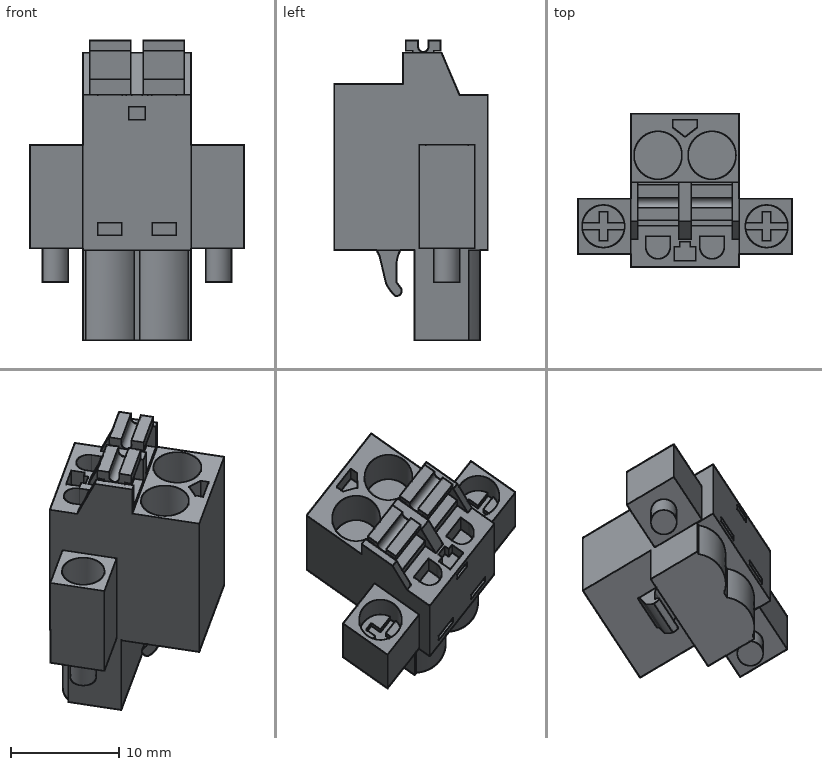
import cadquery as cq


pole_offset = 2.5
pole_sides = (-1, 1)

body_width = 10.0
body_depth = 14.2
body_bottom = 8.35
front_shelf_top = 22.68
rear_top = 23.7
tower_top = 26.6
tower_back = 7.85
tower_crest_front = 4.27
tower_foot_front = 2.6

middle_wall = 1.1
bay_width = 3.83
bay_offset = (middle_wall + bay_width) / 2

overall_width = 19.8
flange_front = 1.22
flange_back = 6.35
flange_bottom = 8.5
flange_top = 18.08

nose_flat_front = 1.75
nose_back = 6.8
nose_bulge = 1.03
nose_bulge_width = 4.46

hook_width = 3.33

wire_hole_radius = 2.22
wire_hole_y = 10.35
wire_hole_depth = 6.93
test_slot_radius = 1.15
test_slot_center_y = 1.9
test_slot_back = 2.85
test_slot_depth = 3.33
marker_half_width = 1.1
marker_back = 13.65
marker_shoulder = 12.9
marker_tip = 12.03
marker_depth = 2.77
key_front = 0.6
key_shoulder = 1.9
key_back = 2.35
key_width = 2.02
key_neck_width = 1.0
key_depth = 2.22

window_depth = 0.5
window_height = 1.16
upper_window_width = 1.53
upper_window_bottom = 20.4
lower_window_width = 2.22
lower_window_bottom = 9.7

lever_top = 27.73
base_top = 24.15
base_front = 3.83
head_bottom = 26.75
head_front = 4.35
head_back = 7.6
neck_front = 5.0
neck_back = 6.95
groove_y = 5.95
groove_radius = 0.47
groove_bottom = 26.68

screw_offset = 7.55
screw_y = (flange_front + flange_back) / 2
screw_head_radius = 1.97
screw_head_bottom = 11.1
screw_head_top = 13.86
screw_shank_radius = 1.2
screw_tip = 5.38
drive_depth = 0.83
long_slot_width = 0.6
short_slot_width = 0.8
short_slot_length = 2.72


def block(width, front, back, bottom, top, center_x=0.0):
    """Box given by its width about center_x and its limits along Y and Z."""
    return (
        cq.Workplane("XY")
        .box(width, back - front, top - bottom, centered=(True, False, False))
        .translate((center_x, front, bottom))
    )


def upright_cylinder(radius, x, y, bottom, top):
    return cq.Workplane("XY", origin=(x, y, bottom)).circle(radius).extrude(top - bottom)


def side_profile(width, center_x=0.0):
    """Workplane for a Y-Z outline, starting at the left side of a body of this width."""
    return cq.Workplane("YZ", origin=(center_x - width / 2, 0, 0))


def housing_block():
    outline = [
        (0, body_bottom),
        (body_depth, body_bottom),
        (body_depth, rear_top),
        (tower_back, rear_top),
        (tower_back, tower_top),
        (tower_crest_front, tower_top),
        (tower_foot_front, front_shelf_top),
        (0, front_shelf_top),
    ]
    return side_profile(body_width).polyline(outline).close().extrude(body_width)


def plug_nose():
    """Flat block with one shallow rounded bulge in front of each pole."""
    nose = block(body_width, nose_flat_front, nose_back, 0, body_bottom)
    for side in pole_sides:
        center = side * pole_offset
        bulge = (
            cq.Workplane("XY")
            .moveTo(center - nose_bulge_width / 2, nose_flat_front)
            .threePointArc(
                (center, nose_flat_front - nose_bulge),
                (center + nose_bulge_width / 2, nose_flat_front),
            )
            .close()
            .extrude(body_bottom)
        )
        nose = nose.union(bulge)
    return nose


def latch_hook():
    """Curved latch hanging from the underside behind the plug nose."""
    return (
        side_profile(hook_width)
        .moveTo(10.3, body_bottom)
        .lineTo(10.0, 7.8)
        .lineTo(9.43, 5.32)
        .threePointArc((9.0, 4.6), (8.55, 4.1))
        .threePointArc((8.12, 4.21), (8.01, 4.83))
        .lineTo(8.43, 5.38)
        .lineTo(8.43, 7.15)
        .threePointArc((8.32, 7.75), (8.07, body_bottom))
        .close()
        .extrude(hook_width)
    )


def test_slot(center_x):
    """D-shaped opening, round towards the front."""
    return (
        cq.Workplane("XY", origin=(center_x, 0, front_shelf_top))
        .moveTo(-test_slot_radius, test_slot_back)
        .lineTo(-test_slot_radius, test_slot_center_y)
        .threePointArc((0, test_slot_center_y - test_slot_radius), (test_slot_radius, test_slot_center_y))
        .lineTo(test_slot_radius, test_slot_back)
        .close()
        .extrude(-test_slot_depth)
    )


def marker_recess():
    """Arrow-shaped recess pointing at the front."""
    outline = [
        (-marker_half_width, marker_back),
        (marker_half_width, marker_back),
        (marker_half_width, marker_shoulder),
        (0, marker_tip),
        (-marker_half_width, marker_shoulder),
    ]
    return cq.Workplane("XY", origin=(0, 0, rear_top)).polyline(outline).close().extrude(-marker_depth)


def key_recess():
    """Stepped recess between the two D-shaped openings."""
    bottom = front_shelf_top - key_depth
    wide_part = block(key_width, key_front, key_shoulder, bottom, front_shelf_top)
    neck = block(key_neck_width, key_shoulder, key_back, bottom, front_shelf_top)
    return wide_part.union(neck)


def front_window(width, bottom, center_x=0.0):
    return block(width, 0, window_depth, bottom, bottom + window_height, center_x)


def screw_hole(center_x):
    shank_hole = upright_cylinder(screw_shank_radius, center_x, screw_y, flange_bottom, flange_top)
    head_hole = upright_cylinder(screw_head_radius, center_x, screw_y, screw_head_bottom, flange_top)
    return shank_hole.union(head_hole)


def make_housing():
    housing = housing_block()
    housing = housing.union(block(overall_width, flange_front, flange_back, flange_bottom, flange_top))
    housing = housing.union(plug_nose())
    housing = housing.union(latch_hook())
    for side in pole_sides:
        pole_x = side * pole_offset
        housing = housing.cut(
            block(bay_width, tower_foot_front, tower_back, front_shelf_top, tower_top, side * bay_offset)
        )
        housing = housing.cut(
            upright_cylinder(wire_hole_radius, pole_x, wire_hole_y, rear_top - wire_hole_depth, rear_top)
        )
        housing = housing.cut(test_slot(pole_x))
        housing = housing.cut(front_window(lower_window_width, lower_window_bottom, pole_x))
        housing = housing.cut(screw_hole(side * screw_offset))
    housing = housing.cut(marker_recess())
    housing = housing.cut(key_recess())
    return housing.cut(front_window(upper_window_width, upper_window_bottom))


def make_lever(center_x):
    """Push lever: base in the bay, narrower neck, and a head with a U-shaped groove across it."""
    groove_center_z = groove_bottom + groove_radius
    lever = block(bay_width, base_front, tower_back, front_shelf_top, base_top, center_x)
    lever = lever.union(block(bay_width, neck_front, neck_back, base_top, head_bottom, center_x))
    lever = lever.union(block(bay_width, head_front, head_back, head_bottom, lever_top, center_x))
    groove = (
        side_profile(bay_width, center_x)
        .moveTo(groove_y - groove_radius, lever_top)
        .lineTo(groove_y - groove_radius, groove_center_z)
        .threePointArc((groove_y, groove_bottom), (groove_y + groove_radius, groove_center_z))
        .lineTo(groove_y + groove_radius, lever_top)
        .close()
        .extrude(bay_width)
    )
    return lever.cut(groove)


def make_screw(center_x):
    """Flange screw with a cross drive whose long slot runs right across the head."""
    slot_bottom = screw_head_top - drive_depth
    shank = upright_cylinder(screw_shank_radius, center_x, screw_y, screw_tip, screw_head_bottom)
    head = upright_cylinder(screw_head_radius, center_x, screw_y, screw_head_bottom, screw_head_top)
    long_slot = block(
        2 * screw_head_radius,
        screw_y - long_slot_width / 2,
        screw_y + long_slot_width / 2,
        slot_bottom,
        screw_head_top,
        center_x,
    )
    short_slot = block(
        short_slot_width,
        screw_y - short_slot_length / 2,
        screw_y + short_slot_length / 2,
        slot_bottom,
        screw_head_top,
        center_x,
    )
    return shank.union(head).cut(long_slot).cut(short_slot)


housing = make_housing()
levers = [make_lever(side * bay_offset) for side in pole_sides]
screws = [make_screw(side * screw_offset) for side in pole_sides]

result = cq.Compound.makeCompound(
    [housing.val()] + [lever.val() for lever in levers] + [screw.val() for screw in screws]
)